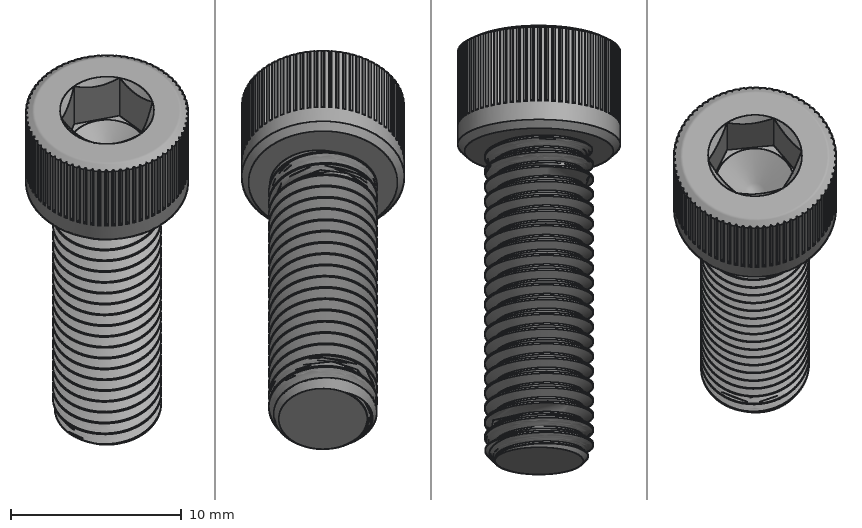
import cadquery as cq
import math

total_length = 25.4
thread_diameter = 6.35
thread_radius = thread_diameter / 2
head_diameter = 1.5 * thread_diameter
head_radius = head_diameter / 2
head_height = thread_diameter
shank_length = total_length - head_height

crown_radius = 0.28
crown_chamfer_width = 0.45
crown_chamfer_angle = math.radians(30)
crown_chamfer_height = crown_chamfer_width * math.tan(crown_chamfer_angle)
bearing_chamfer = 0.4

knurl_count = 72
knurl_depth = 0.1
knurl_bottom = 20.6

socket_flats = 0.75 * thread_diameter
socket_corners = socket_flats / math.cos(math.pi / 6)
socket_depth = head_height / 2
socket_lead_angle = math.radians(45)
drill_diameter = 4.62
drill_point_angle = math.radians(118)

pitch = total_length / 28
flank_half_angle = math.radians(30)
crest_width = pitch / 8
root_width = pitch / 8
thread_depth = (pitch - crest_width - root_width) / (2 * math.tan(flank_half_angle))
root_radius = thread_radius - thread_depth
ridge_embed = 0.05
first_crest_height = 0.81
point_radius = 2.6
point_height = 0.64


def cone(bottom_radius, top_radius, bottom_height, height):
    """Solid cone frustum on the Z axis, rising from bottom_height."""
    base = cq.Vector(0, 0, bottom_height)
    return cq.Workplane(obj=cq.Solid.makeCone(bottom_radius, top_radius, height, base))


def thread_ridge(start_height, ridge_length):
    """Right-hand helical ridge, its foot sunk slightly into the core."""
    foot_radius = root_radius - ridge_embed
    foot_half_width = (pitch - root_width) / 2 + ridge_embed * math.tan(flank_half_angle)
    crest_half_width = crest_width / 2
    ridge_profile = [
        (foot_radius, -foot_half_width),
        (thread_radius, -crest_half_width),
        (thread_radius, crest_half_width),
        (foot_radius, foot_half_width),
    ]
    helix = cq.Wire.makeHelix(pitch, ridge_length, root_radius)
    helix = helix.translate(cq.Vector(0, 0, start_height))
    plane = cq.Plane(origin=(0, 0, start_height), xDir=(1, 0, 0), normal=(0, 1, 0))
    profile = cq.Workplane(plane).polyline(ridge_profile).close()
    return profile.sweep(cq.Workplane(obj=helix), isFrenet=True)


def point_trim():
    """Material to remove below the tip and outside its chamfer."""
    trim_depth = 4 * pitch
    trim_radius = head_radius
    chamfer_slope = point_height / (thread_radius - point_radius)
    outline = [
        (0, 0),
        (point_radius, 0),
        (trim_radius, (trim_radius - point_radius) * chamfer_slope),
        (trim_radius, -trim_depth),
        (0, -trim_depth),
    ]
    return cq.Workplane("XZ").polyline(outline).close().revolve(360, (0, 0), (0, 1))


def threaded_shank():
    """Core with the thread wound around it, both anchored inside the head."""
    ridge_start = first_crest_height - 2 * pitch
    ridge_end = shank_length + pitch / 2
    core_start = ridge_start - pitch
    core_end = ridge_end + pitch
    core = cq.Workplane("XY").workplane(offset=core_start).circle(root_radius)
    core = core.extrude(core_end - core_start)
    ridge = thread_ridge(ridge_start, ridge_end - ridge_start)
    return core.union(ridge).cut(point_trim())


def head_blank():
    """Cylindrical head with a blended chamfer at the top and a chamfered bearing face."""
    corner_radius = head_radius - crown_chamfer_width
    outline = [
        (0, shank_length),
        (head_radius - bearing_chamfer, shank_length),
        (head_radius, shank_length + bearing_chamfer),
        (head_radius, total_length - crown_chamfer_height),
        (corner_radius, total_length),
        (0, total_length),
    ]
    blank = cq.Workplane("XZ").polyline(outline).close().revolve(360, (0, 0), (0, 1))
    return blank.faces(">Z").edges().fillet(crown_radius)


def knurl_grooves():
    """Ring of V grooves, open at the top of the head, with a 45 degree run-out below."""
    inner_radius = head_radius - knurl_depth
    outer_radius = head_radius + knurl_depth
    half_width = outer_radius - inner_radius
    bottom = knurl_bottom - knurl_depth
    v_profile = [(inner_radius, 0), (outer_radius, half_width), (outer_radius, -half_width)]
    groove = cq.Workplane("XY").workplane(offset=bottom).polyline(v_profile).close()
    groove = groove.extrude(total_length - bottom)
    groove = groove.cut(cone(outer_radius, inner_radius, bottom, half_width)).val()
    step = 360 / knurl_count
    grooves = [groove.rotate((0, 0, 0), (0, 0, 1), i * step) for i in range(knurl_count)]
    return cq.Workplane(obj=cq.Compound.makeCompound(grooves))


def hex_socket():
    """Hexagon with flats square to X, a conical lead-in and a drill-point floor."""
    floor_height = total_length - socket_depth
    hexagon = cq.Workplane("XY").workplane(offset=floor_height).polygon(6, socket_corners)
    hexagon = hexagon.extrude(socket_depth).rotate((0, 0, 0), (0, 0, 1), 30)

    lead_radius = socket_corners / 2
    lead_depth = lead_radius * math.tan(socket_lead_angle)
    lead_in = cone(0, lead_radius, total_length - lead_depth, lead_depth)

    drill_radius = drill_diameter / 2
    tip_depth = drill_radius / math.tan(drill_point_angle / 2)
    drill_point = cone(0, drill_radius, floor_height - tip_depth, tip_depth)
    return hexagon.union(lead_in).union(drill_point)


head = head_blank().cut(knurl_grooves()).cut(hex_socket())
result = threaded_shank().union(head)